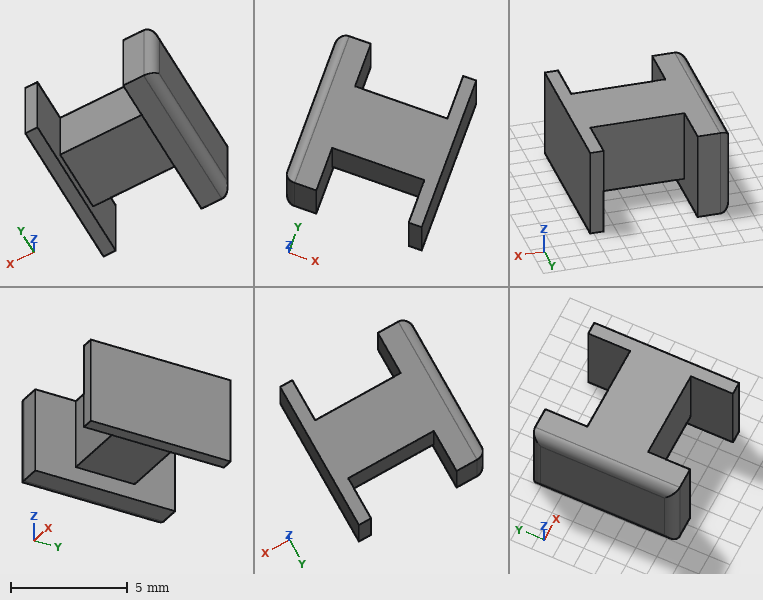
import cadquery as cq

length = 6.3
width = 6.9
height = 4.05

thick_plate = 1.5
thin_plate = 0.6
edge_radius = 0.5

web_width = 2.9
web_height = 3.3


def block(x_start, x_size, y_size, z_size):
    """Box centred on Y, with its top face at the overall height."""
    return (
        cq.Workplane("XY")
        .box(x_size, y_size, z_size, centered=(False, True, False))
        .translate((x_start, 0, height - z_size))
    )


rounded_plate = block(0, thick_plate, width, height).faces("<X").edges().fillet(edge_radius)

flat_plate = block(length - thin_plate, thin_plate, width, height)

web_length = length - thick_plate - thin_plate
web = block(thick_plate, web_length, web_width, web_height)

result = rounded_plate.union(web).union(flat_plate)